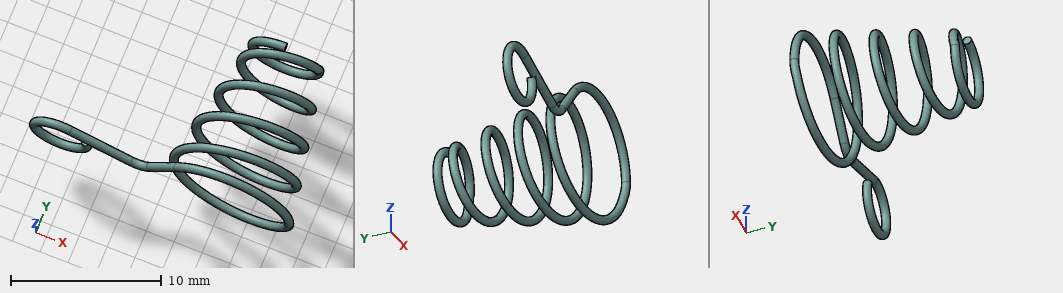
import cadquery as cq
import math

wire_diameter = 0.6
overall_length = 18.92
overall_depth = 11.18

large_radius = 4.55
small_radius = 2.4
turns = 4
points_per_turn = 24
end_coil_sweep = 270.0

leg_departure_angle = 140.0
bend_radius = 1.25
loop_radius = 1.91
loop_start_angle = 70.0
loop_end_angle = 379.0

wire_radius = wire_diameter / 2
coil_length = overall_depth - wire_diameter
loop_center = (large_radius + wire_diameter - overall_length + loop_radius, 0.0)


def on_circle(center, radius, angle, y=0.0):
    """Point at an angle on a circle that lies in a plane of constant y."""
    a = math.radians(angle)
    return cq.Vector(center[0] + radius * math.cos(a), y, center[1] + radius * math.sin(a))


def arc(center, radius, start, end, y=0.0):
    """Circular edge from one angle to another in a plane of constant y."""
    angles = (start, (start + end) / 2, end)
    return cq.Edge.makeThreePointArc(*[on_circle(center, radius, a, y) for a in angles])


def find_bend_center():
    """Centre of the bend that is tangent to both straight legs."""
    loop_a = math.radians(loop_start_angle)
    coil_a = math.radians(leg_departure_angle)
    loop_offset = loop_radius + bend_radius + loop_center[0] * math.cos(loop_a)
    coil_offset = large_radius + bend_radius
    det = math.sin(coil_a - loop_a)
    x = (loop_offset * math.sin(coil_a) - coil_offset * math.sin(loop_a)) / det
    z = (coil_offset * math.cos(loop_a) - loop_offset * math.cos(coil_a)) / det
    return (x, z)


def hook_edges():
    """Loop, straight leg, bend, straight leg and the flat arc of the large coil."""
    axis = (0.0, 0.0)
    loop = arc(loop_center, loop_radius, loop_end_angle, loop_start_angle)
    bend_center = find_bend_center()
    bend = arc(bend_center, bend_radius, loop_start_angle + 180, leg_departure_angle + 180)
    coil_arc = arc(axis, large_radius, leg_departure_angle, 0)
    loop_leg = cq.Edge.makeLine(loop.endPoint(), bend.startPoint())
    coil_leg = cq.Edge.makeLine(bend.endPoint(), coil_arc.startPoint())
    return [loop, loop_leg, bend, coil_leg, coil_arc]


def coil_edges():
    """Conical helix that blends into the flat arcs at both ends."""
    count = turns * points_per_turn
    fractions = [i / count for i in range(count + 1)]
    points = []
    for fraction in fractions:
        radius = large_radius + (small_radius - large_radius) * fraction
        points.append(on_circle((0, 0), radius, -360 * turns * fraction, coil_length * fraction))
    start_tangent = cq.Vector(0, 0, -2 * math.pi * turns * large_radius)
    end_tangent = cq.Vector(0, 0, -2 * math.pi * turns * small_radius)
    helix = cq.Edge.makeSpline(
        points,
        tangents=[start_tangent, end_tangent],
        parameters=fractions,
        scale=False,
    )
    end_arc = arc((0, 0), small_radius, 0, -end_coil_sweep, coil_length)
    return [helix, end_arc]


path = cq.Wire.assembleEdges(hook_edges() + coil_edges())
section_plane = cq.Plane(origin=path.startPoint(), normal=path.tangentAt(0))
result = cq.Workplane(section_plane).circle(wire_radius).sweep(cq.Workplane(path))